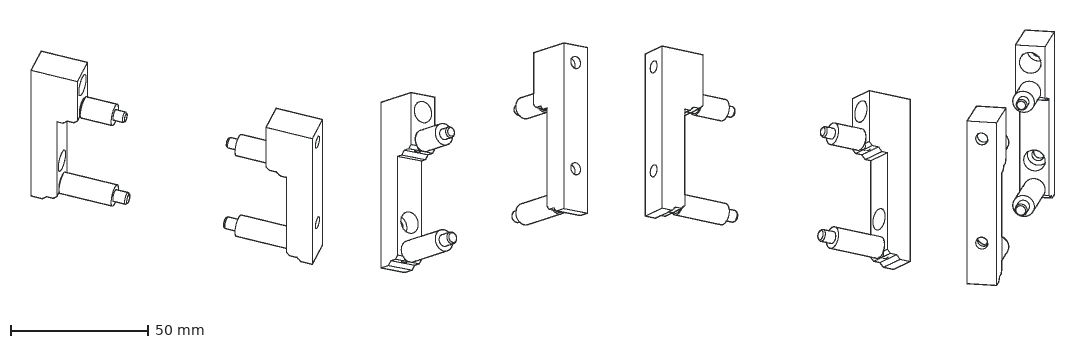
import cadquery as cq

overall_length = 109.0
block_depth = 11.0
block_height = 62.5
outer_x = overall_length / 2
tier_pitch = 40.0

lower_width = 10.0
upper_width = 18.0
relief_height = 1.5
relief_length = 4.0
corner_chamfer = 1.3

screw_z = 15.9
screw_bore_diameter = 4.5
screw_head_diameter = 8.0
screw_seat_thickness = 3.3

sleeve_z = 5.0
sleeve_diameter = 8.1
sleeve_reach = 30.5
spigot_diameter = 6.9
spigot_depth = 3.3
upper_sleeve_gap = 0.5
lower_sleeve_gap = 0.2

upper_pin_diameter = 4.0
lower_pin_diameter = 4.5
upper_pin_projection = 4.3
lower_pin_projection = 5.2
pin_seat_depth = 5.5
tip_chamfer_length = 0.7
tip_chamfer_radial = 0.4

tiers = [
    (0.0, lower_width, lower_sleeve_gap, lower_pin_diameter, lower_pin_projection),
    (tier_pitch, upper_width, upper_sleeve_gap, upper_pin_diameter, upper_pin_projection),
]


def rod(diameter, start, end, z):
    """Cylinder along X between two distances inward from the left outer face."""
    return (
        cq.Workplane("YZ", origin=(start - outer_x, 0, z))
        .circle(diameter / 2)
        .extrude(end - start)
    )


def tier_underside(width, base_z):
    """Points of the stepped, chamfered underside, from the relief to the inner face."""
    relief_z = base_z + relief_height
    relief_start = width - relief_length
    return [
        (relief_start - relief_height, base_z),
        (relief_start, relief_z),
        (width - corner_chamfer, relief_z),
        (width, relief_z + corner_chamfer),
    ]


def make_block():
    outline = [
        (0, 0),
        *tier_underside(lower_width, 0),
        (lower_width, tier_pitch),
        *tier_underside(upper_width, tier_pitch),
        (upper_width, block_height),
        (0, block_height),
    ]
    block = (
        cq.Workplane("XZ", origin=(-outer_x, block_depth / 2, 0))
        .polyline(outline)
        .close()
        .extrude(block_depth)
    )
    for base_z, width, *_ in tiers:
        block = block.cut(rod(screw_bore_diameter, 0, width, base_z + screw_z))
        block = block.cut(rod(screw_head_diameter, screw_seat_thickness, width, base_z + screw_z))
        block = block.cut(rod(spigot_diameter, width - spigot_depth, width, base_z + sleeve_z))
    return block


def make_sleeve(base_z, width, gap, pin_diameter):
    z = base_z + sleeve_z
    shoulder = width + gap
    spigot = rod(spigot_diameter, width - spigot_depth, shoulder, z)
    body = rod(sleeve_diameter, shoulder, sleeve_reach, z)
    pin_seat = rod(pin_diameter, sleeve_reach - pin_seat_depth, sleeve_reach, z)
    return body.union(spigot).cut(pin_seat)


def make_pin(base_z, diameter, projection):
    pin = rod(diameter, sleeve_reach - pin_seat_depth, sleeve_reach + projection, base_z + sleeve_z)
    return pin.faces(">X").edges().chamfer(tip_chamfer_length, tip_chamfer_radial)


left_bodies = [make_block()]
for base_z, width, gap, pin_diameter, pin_projection in tiers:
    left_bodies.append(make_sleeve(base_z, width, gap, pin_diameter))
    left_bodies.append(make_pin(base_z, pin_diameter, pin_projection))
right_bodies = [body.mirror("YZ") for body in left_bodies]

result = cq.Compound.makeCompound([body.val() for body in left_bodies + right_bodies])